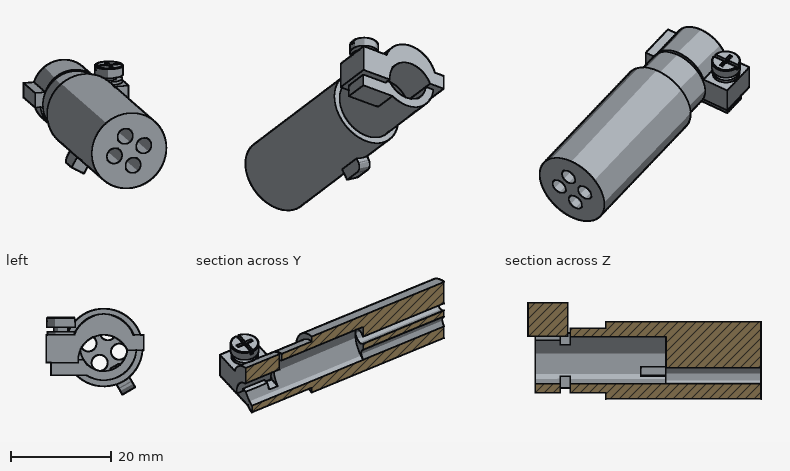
import cadquery as cq

length = 46.5
clamp_length = 8.0
cradle_start = 1.5
slot_start = 6.5
neck_start = 8.4
barrel_start = 15.5
key_start = 22.5
key_length = 5.0

barrel_radius = 7.75
neck_radius = 6.5
bore_radius = 4.7
bore_end = key_start + key_length
slot_floor_z = -3.5

contact_count = 4
contact_radius = 1.6
contact_pitch_radius = 3.15
contact_tilt = 15.0

split_z = -0.5
cradle_left_z = -2.4
lug_y = 10.5
lug_bottom_z = -5.55

clamp_crown_radius = 6.2
clamp_crown_z = 0.5
clamp_bore_radius = 5.1
clamp_bore_z = -2.6
clamp_top_z = 2.5
clamp_block_y = 11.5
clamp_block_bottom_z = -3.0
clamp_tab_y = -8.0

screw_x = clamp_length / 2
screw_y = 8.55
washer_radius = 2.7
washer_top_z = 3.15
shank_radius = 1.45
head_radius = 2.85
head_bottom_z = 4.0
head_top_z = 6.0
head_chamfer = 0.2
drive_width = 0.6
drive_length = 3.45
drive_depth = 0.8

key_turn = -30.0
key_width = 2.98
key_reach = 10.0
key_nose_radius = 1.5
key_root_radius = 6.05
rib_width = 2.0
rib_reach = 4.3


def box(x0, x1, y0, y1, z0, z1):
    """Axis-aligned block between two opposite corners."""
    return cq.Workplane("XY").box(x1 - x0, y1 - y0, z1 - z0, centered=False).translate((x0, y0, z0))


def x_cylinder(radius, x0, x1, z=0.0):
    """Cylinder parallel to X, centred at Y = 0 and the given height."""
    return cq.Workplane("YZ", origin=(x0, 0, z)).circle(radius).extrude(x1 - x0)


def screw_cylinder(radius, z0, z1):
    """Cylinder on the vertical axis of the clamp screw."""
    return cq.Workplane("XY", origin=(screw_x, screw_y, z0)).circle(radius).extrude(z1 - z0)


def make_body():
    """Barrel, neck and cradle with the bore and the contact holes."""
    body = x_cylinder(barrel_radius, barrel_start, length)
    body = body.union(x_cylinder(neck_radius, cradle_start, barrel_start))
    body = body.union(box(cradle_start, slot_start, 0, lug_y, lug_bottom_z, cradle_left_z))

    above = neck_radius
    body = body.cut(box(cradle_start, slot_start, 0, lug_y, cradle_left_z, above))
    body = body.cut(box(cradle_start, slot_start, -neck_radius, 0, split_z, above))
    body = body.cut(box(slot_start, neck_start, -neck_radius, neck_radius, slot_floor_z, above))

    body = body.cut(x_cylinder(bore_radius, cradle_start, bore_end))
    contacts = (
        cq.Workplane("YZ", origin=(bore_end, 0, 0))
        .polarArray(contact_pitch_radius, contact_tilt, 360, contact_count)
        .circle(contact_radius)
        .extrude(length - bore_end)
    )
    return body.cut(contacts)


def make_clamp():
    """Saddle with screw block and tab, hollowed by its own arched bore."""
    crown = x_cylinder(clamp_crown_radius, 0, clamp_length, clamp_crown_z)
    crown = crown.intersect(
        box(0, clamp_length, -barrel_radius, barrel_radius, split_z, barrel_radius)
    )
    block = box(0, clamp_length, 0, clamp_block_y, clamp_block_bottom_z, clamp_top_z)
    tab = box(0, clamp_length, clamp_tab_y, 0, split_z, clamp_top_z)
    arch = x_cylinder(clamp_bore_radius, 0, clamp_length, clamp_bore_z)
    return crown.union(block).union(tab).cut(arch)


def make_screw():
    """Washer, shank and cross-slotted head standing on the clamp block."""
    washer = screw_cylinder(washer_radius, clamp_top_z, washer_top_z)
    shank = screw_cylinder(shank_radius, clamp_top_z, head_bottom_z)
    head = screw_cylinder(head_radius, head_bottom_z, head_top_z).faces(">Z").chamfer(head_chamfer)
    for slot_x, slot_y in ((drive_width, 2 * head_radius), (drive_length, drive_width)):
        slot = cq.Workplane("XY", origin=(screw_x, screw_y, head_top_z)).rect(slot_x, slot_y)
        head = head.cut(slot.extrude(-drive_depth))
    return washer.union(shank).union(head)


def make_key():
    """Radial key outside the barrel and its narrower rib inside the bore."""
    key = box(key_start, bore_end, -key_width / 2, key_width / 2, -key_reach, -key_root_radius)
    key = key.edges("<X and <Z").fillet(key_nose_radius)
    rib = box(key_start, bore_end, -rib_width / 2, rib_width / 2, -key_root_radius, -rib_reach)
    return key.union(rib).rotate((0, 0, 0), (1, 0, 0), key_turn)


result = make_body().union(make_key()).union(make_clamp()).union(make_screw())